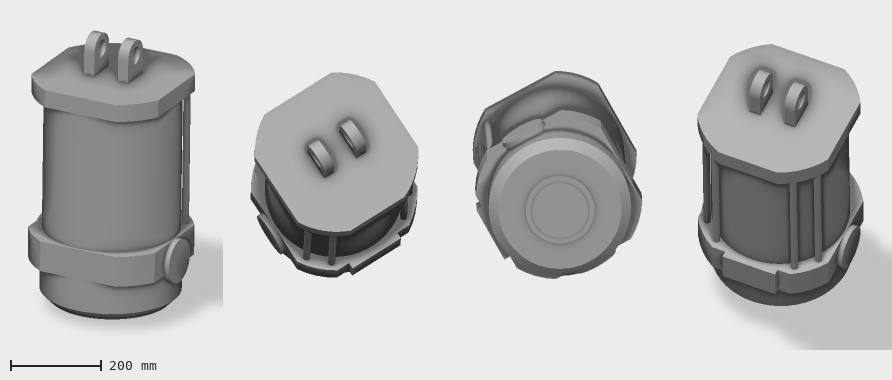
import cadquery as cq
import math

lean_angle = 1.5

barrel_radius = 153.0
body_radius = 156.5
body_bottom = -117.0
body_chamfer = 21.5

boss_radius = 76.0
boss_bottom = -123.0
boss_tip_radius = 61.0
boss_tip_bottom = -129.0

flat_distance = 157.0
collar_corner_radius = 183.0
collar_bottom = -19.5
collar_top = 50.5
plate_corner_radius = 180.0
plate_bottom = 370.5
plate_top = 411.0
plate_back_distance = 165.5

pad_width = 126.0
pad_back_distance = 171.5

trunnion_radius = 50.0
trunnion_span = 339.0

lug_width = 70.0
lug_thickness = 25.0
lug_spacing = 84.0
lug_hole_diameter = 40.5
lug_eye_height = 466.0

rod_radius = 7.9
rod_circle_radius = 164.0
rod_distances = (94.5, 134.5)


def disc(radius, bottom, top):
    return cq.Workplane("XY").workplane(offset=bottom).circle(radius).extrude(top - bottom)


def block(width, front, back, bottom, top):
    """Box centred on X, from front to back along Y."""
    return cq.Workplane("XY").box(width, back - front, top - bottom).translate(
        (0, (front + back) / 2, (bottom + top) / 2)
    )


def rounded_square(back_distance, corner_radius, bottom, top):
    square = block(2 * flat_distance, -flat_distance, back_distance, bottom, top)
    return square.intersect(disc(corner_radius, bottom, top))


def clevis_lug(x):
    half_width = lug_width / 2
    return (
        cq.Workplane("YZ", origin=(x - lug_thickness / 2, 0, 0))
        .moveTo(-half_width, plate_top)
        .lineTo(half_width, plate_top)
        .lineTo(half_width, lug_eye_height)
        .threePointArc((0, lug_eye_height + half_width), (-half_width, lug_eye_height))
        .close()
        .moveTo(0, lug_eye_height)
        .circle(lug_hole_diameter / 2)
        .extrude(lug_thickness)
    )


cylinder = disc(body_radius, body_bottom, collar_bottom).faces("<Z").chamfer(body_chamfer)
cylinder = cylinder.union(disc(boss_radius, boss_bottom, body_bottom))
cylinder = cylinder.union(disc(boss_tip_radius, boss_tip_bottom, boss_bottom))

cylinder = cylinder.union(rounded_square(flat_distance, collar_corner_radius, collar_bottom, collar_top))
cylinder = cylinder.union(block(pad_width, 0, pad_back_distance, collar_bottom, collar_top))
cylinder = cylinder.union(disc(barrel_radius, collar_top, plate_bottom))
cylinder = cylinder.union(rounded_square(plate_back_distance, plate_corner_radius, plate_bottom, plate_top))

trunnions = cq.Workplane("YZ").circle(trunnion_radius).extrude(trunnion_span / 2, both=True)
cylinder = cylinder.union(trunnions)

for side in (-1, 1):
    cylinder = cylinder.union(clevis_lug(side * lug_spacing / 2))
    for rod_y in rod_distances:
        rod_x = side * math.sqrt(rod_circle_radius**2 - rod_y**2)
        rod = disc(rod_radius, collar_top, plate_bottom).translate((rod_x, rod_y, 0))
        cylinder = cylinder.union(rod)

result = cylinder.rotate((0, 0, 0), (1, 0, 0), -lean_angle)